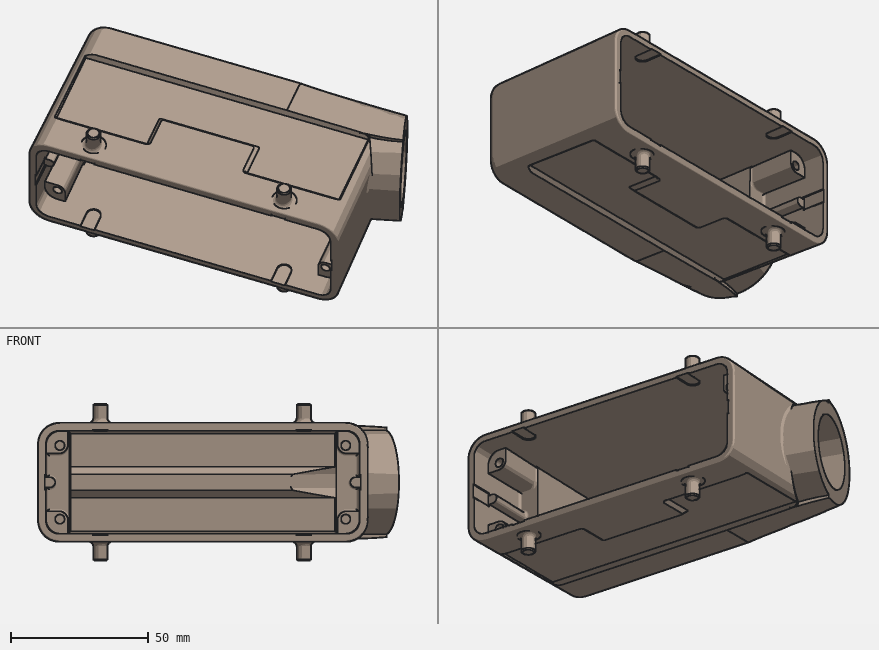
import cadquery as cq
import math

hood_length = 120.0
hood_width = 43.4
hood_depth = 62.3
hood_corner = 7.9
roof_fillet = 3.7
rim_fillet = 0.7
draft = 1.0
draft_slope = math.tan(math.radians(draft))
mid_x = hood_length / 2

wall = 2.9
roof_wall = 2.4
ledge_depth = 27.6
ledge_fillet = 0.9
end_block = 10.9
ridge_height = 3.5
ridge_base = 11.3
ridge_top = 5.8

boss_face = 8.5
boss_inner_z = 10.5
boss_corner = 3.2
screw_inset = 8.0
screw_z = 13.4
screw_hole = 3.4
screw_depth = 13.1
rib_tip = 9.2
rib_width = 3.7
rib_reach = 6.3

pin_x = (22.7, 96.7)
pin_y = 6.3
pin_span = 57.0
pin_diameter = 5.3
pin_base_diameter = 9.2
pin_base_height = 1.6
pin_flare_sag = 0.3
pin_chamfer = 0.5
slot_width = 5.4
slot_recess = 0.4

panel_floor_z = 20.0
panel_corner = 1.3
panel_bevel_angle = 45
panel_ends = (5.3, 114.8)
panel_bottom = 14.8
panel_top = 45.2
tab_x = (40.3, 79.2)
tab_top = 27.9

part_length = 131.4
part_height = 70.0
entry_tilt = 16
entry_radius = 19.0
entry_length = 19.7
entry_bore = 28.0
entry_root_fillet = 0.9
bore_reach = 52.5
tilt_sin = math.sin(math.radians(entry_tilt))
tilt_cos = math.cos(math.radians(entry_tilt))
entry_x = part_length - entry_radius * tilt_sin
entry_y = part_height - entry_radius * tilt_cos

blend_start = 82.8
blend_bottom = 46.4
arch_exit_height = 21.8
arch_exit_half_width = 19.6
arch_exit_corner = 19.2
arch_stations = (
    (94.6, 63.3, 6, 17.3, 20.5, 6.7),
    (106.4, 65.8, 13, 20.0, 20.4, 11.8),
)
trim_corner_x = 115.0
trim_end_y = 35.5


def rim_plane(x, y=0.0):
    """Plane facing into the hood, with its origin on the mid-plane."""
    return cq.Plane(origin=(x, y, 0), xDir=(1, 0, 0), normal=(0, 1, 0))


def mirrored_z(solid):
    return solid.union(solid.mirror("XY"))


def mirrored_ends(solid):
    return solid.union(solid.mirror("YZ", (mid_x, 0, 0)))


def drafted_block(length, width, depth, corner):
    """Rounded block narrowing from the rim inwards."""
    block = cq.Workplane(rim_plane(mid_x)).rect(length, width).extrude(depth, taper=draft)
    if corner:
        block = block.edges("not(<Y or >Y)").fillet(corner)
    return block


def hood():
    body = drafted_block(hood_length, hood_width, hood_depth, hood_corner)
    return body.faces(">Y").edges().fillet(roof_fillet).faces("<Y").edges().fillet(rim_fillet)


def side_panels():
    outline = [
        (panel_ends[0], panel_bottom),
        (tab_x[0], panel_bottom),
        (tab_x[0], tab_top),
        (tab_x[1], tab_top),
        (tab_x[1], panel_bottom),
        (panel_ends[1], panel_bottom),
        (panel_ends[1], panel_top),
        (panel_ends[0], panel_top),
    ]
    height = hood_width / 2 - panel_floor_z
    panel = (
        cq.Workplane("XY", origin=(0, 0, panel_floor_z))
        .polyline(outline)
        .close()
        .extrude(height, taper=-panel_bevel_angle)
    )
    tab_corners = cq.selectors.BoxSelector(
        (tab_x[0], tab_top - height, panel_floor_z + height / 4),
        (tab_x[1], tab_top, panel_floor_z + height * 3 / 4),
    )
    panel = panel.edges(tab_corners).fillet(panel_corner)
    hinge = ((0, panel_bottom, panel_floor_z), (1, panel_bottom, panel_floor_z))
    return mirrored_z(panel.rotate(*hinge, -draft))


def entry_trim():
    """Removes the hood corner that the cable entry replaces."""
    outline = [
        (blend_start, blend_bottom),
        (trim_corner_x, blend_bottom),
        (hood_length, trim_end_y),
        (hood_length, hood_depth),
        (blend_start, hood_depth),
    ]
    return cq.Workplane("XY").polyline(outline).close().extrude(hood_width / 2, both=True)


def blend_section(top_x, top_y, tilt, height, half_width, corner):
    """Arch-shaped section hanging down from its top point, leaning by tilt degrees."""
    lean = math.radians(tilt)
    plane = cq.Plane(
        origin=(top_x, top_y, 0),
        xDir=(0, 0, -1),
        normal=(math.cos(lean), math.sin(lean), 0),
    )
    base_half_width = half_width + draft_slope * height
    mid_arc = corner * (1 - math.sqrt(0.5))
    return (
        cq.Workplane(plane)
        .moveTo(-base_half_width, -height)
        .lineTo(-half_width, -corner)
        .threePointArc((mid_arc - half_width, -mid_arc), (corner - half_width, 0))
        .lineTo(half_width - corner, 0)
        .threePointArc((half_width - mid_arc, -mid_arc), (half_width, -corner))
        .lineTo(base_half_width, -height)
        .close()
        .val()
    )


def entry_blend():
    start_height = hood_depth - blend_bottom
    start_half_width = hood_width / 2 - draft_slope * hood_depth
    exit_x = entry_x - entry_radius * tilt_sin
    sections = [blend_section(blend_start, hood_depth, 0, start_height, start_half_width, roof_fillet)]
    for station in arch_stations:
        sections.append(blend_section(*station))
    sections.append(
        blend_section(
            exit_x, part_height, entry_tilt, arch_exit_height, arch_exit_half_width, arch_exit_corner
        )
    )
    return cq.Workplane(cq.Solid.makeLoft(sections))


def entry_cylinder(radius, length):
    """Cylinder running from the cable entry face back into the hood."""
    inward = cq.Plane(origin=(entry_x, entry_y, 0), xDir=(0, 0, 1), normal=(-tilt_cos, -tilt_sin, 0))
    return cq.Workplane(inward).circle(radius).extrude(length)


def pins():
    root_z = hood_width / 2 - draft_slope * pin_y
    radius = pin_diameter / 2
    base = pin_base_diameter / 2
    tip = pin_span / 2
    flare_middle = (
        radius + pin_flare_sag * (base - radius),
        root_z + pin_flare_sag * pin_base_height,
    )
    profile = (
        cq.Workplane("XZ")
        .moveTo(0, panel_floor_z)
        .lineTo(base, panel_floor_z)
        .lineTo(base, root_z)
        .threePointArc(flare_middle, (radius, root_z + pin_base_height))
        .lineTo(radius, tip - pin_chamfer)
        .lineTo(radius - pin_chamfer, tip)
        .lineTo(0, tip)
        .close()
    )
    pin = profile.revolve(360, (0, 0), (0, 1))
    both = pin.translate((pin_x[0], pin_y, 0)).union(pin.translate((pin_x[1], pin_y, 0)))
    return mirrored_z(both)


def screw_bosses():
    width = hood_width / 2 - boss_inner_z
    boss = (
        cq.Workplane("XY")
        .box(end_block, ledge_depth - boss_face, width, centered=False)
        .translate((0, boss_face, boss_inner_z))
        .edges("|Y and >X and <Z")
        .fillet(boss_corner)
    )
    return mirrored_ends(mirrored_z(boss))


def screw_holes():
    points = [(x, z) for x in (screw_inset - mid_x, mid_x - screw_inset) for z in (-screw_z, screw_z)]
    faces = cq.Workplane(rim_plane(mid_x, boss_face)).pushPoints(points)
    return faces.circle(screw_hole / 2).extrude(screw_depth)


def keying_ribs():
    round_x = rib_reach - rib_width / 2
    rib_length = ledge_depth - rib_tip
    web = cq.Workplane(rim_plane(0, rib_tip)).rect(2 * round_x, rib_width).extrude(rib_length)
    nose = cq.Workplane(rim_plane(round_x, rib_tip)).circle(rib_width / 2).extrude(rib_length)
    rib = web.union(nose)
    return mirrored_ends(rib)


def roof_ridge():
    outline = [
        (hood_depth - roof_wall, ridge_base / 2),
        (hood_depth - roof_wall - ridge_height, ridge_top / 2),
        (hood_depth - roof_wall - ridge_height, -ridge_top / 2),
        (hood_depth - roof_wall, -ridge_base / 2),
    ]
    return cq.Workplane("YZ").polyline(outline).close().extrude(hood_length)


def rim_slots():
    """Shallow round-ended recesses inside the rim, behind the pins and ahead of the ribs."""
    span_z = hood_width - 2 * (wall - slot_recess)
    span_x = hood_length - 2 * (wall - slot_recess)
    slots = cq.Workplane("XY").box(span_x, rib_tip, slot_width).translate((mid_x, rib_tip / 2, 0))
    for x in pin_x:
        channel = cq.Workplane("XY").box(slot_width, pin_y, span_z).translate((x, pin_y / 2, 0))
        round_end = cq.Workplane("XY").center(x, pin_y).circle(slot_width / 2).extrude(span_z / 2, both=True)
        slots = slots.union(channel).union(round_end)
    return slots


def cavity():
    inner_width = hood_width - 2 * wall
    mouth = drafted_block(hood_length - 2 * wall, inner_width, ledge_depth, hood_corner - wall)
    deep = drafted_block(hood_length - 2 * end_block, inner_width, hood_depth - roof_wall, 0)
    mouth = mouth.cut(screw_bosses()).cut(keying_ribs())
    mouth = mouth.faces(">Y").edges().fillet(ledge_fillet)
    return mouth.union(deep.cut(roof_ridge())).union(rim_slots())


def outer_body():
    body = hood().cut(entry_trim()).union(entry_blend()).cut(side_panels())
    body = body.union(entry_cylinder(entry_radius, entry_length))
    root_margin = 1.3
    end_wall_root = cq.selectors.BoxSelector(
        (hood_length - wall, ledge_depth, -hood_width / 2),
        (hood_length, trim_end_y + root_margin, hood_width / 2),
    )
    body = body.edges(end_wall_root).fillet(entry_root_fillet)
    return body.union(pins())


result = outer_body().cut(cavity())
result = result.cut(entry_cylinder(entry_bore / 2, bore_reach)).cut(screw_holes())